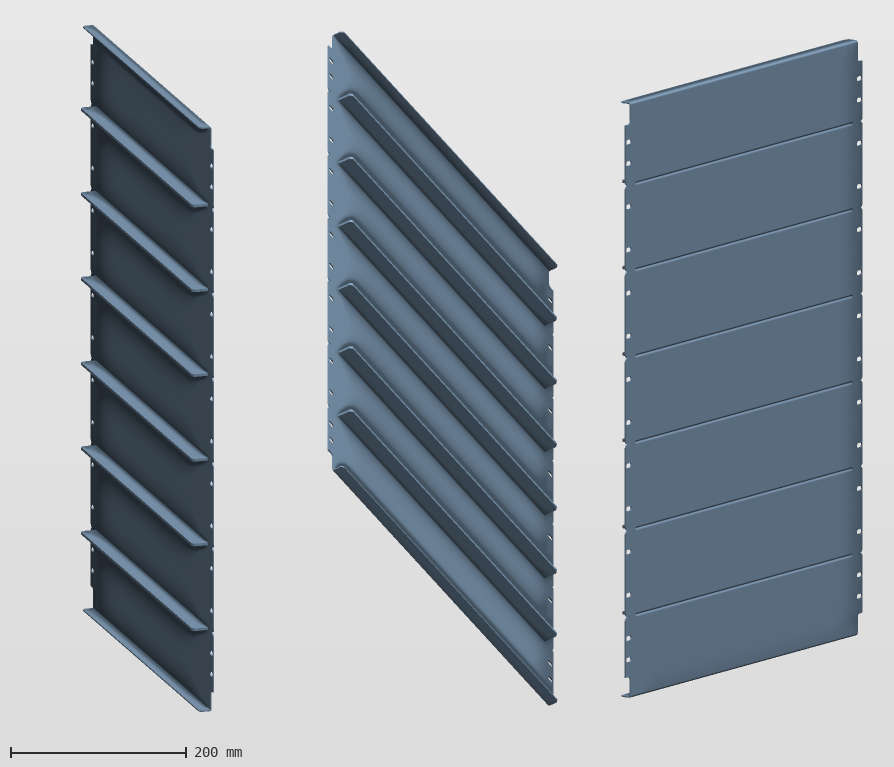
import cadquery as cq

HEIGHT = 690.0
WIDTH = 477.0
DEPTH = 20.0
PANEL_COUNT = 7
PITCH = 100.0
FULL_COUNT = PANEL_COUNT - 2
END_HEIGHT = (HEIGHT - FULL_COUNT * PITCH) / 2

SHEET = 1.5
BEND_INNER = 1.05
BEND_OUTER = BEND_INNER + SHEET

RIB_LENGTH = 437.5
RIB_CHAMFER = 3.0

RIM_LENGTH = 457.5
RIM_DEPTH = 14.5
RIM_CHAMFER = 3.0

NOTCH_HEIGHT = 25.0
NOTCH_FILLET = 4.0
CORNER_RADIUS = 5.0
SLOT_LENGTH = 10.5
SLOT_HEIGHT = 5.5
SLOT_INSET = 6.0
SLOT_SPACING = PITCH / 2
RIM_SLOT_DISTANCES = (45.0, 70.0)


def make_sheet(bottom, top):
    """Flat sheet with its back on Y = 0 and rounded corners."""
    sheet = cq.Workplane("XY").box(WIDTH, SHEET, top - bottom, centered=(True, False, False))
    sheet = sheet.edges("|Y").fillet(CORNER_RADIUS)
    return sheet.translate((0, -SHEET, bottom))


def make_flange(length, depth, chamfer):
    """Flange bent to -Y, with its outer face on Z = 0 and the sheet below it."""
    flange = (
        cq.Workplane("YZ")
        .moveTo(0, -BEND_OUTER)
        .radiusArc((-BEND_OUTER, 0), -BEND_OUTER)
        .lineTo(-depth, 0)
        .lineTo(-depth, -SHEET)
        .lineTo(-BEND_OUTER, -SHEET)
        .radiusArc((-SHEET, -BEND_OUTER), BEND_INNER)
        .close()
        .extrude(length / 2, both=True)
    )
    return flange.faces("<Y").edges("|Z").chamfer(chamfer)


def make_bend_clearance(length):
    """Strip of flat sheet that a flange with its outer face on Z = 0 replaces."""
    return cq.Workplane("XY").box(length, 2 * SHEET, 2 * BEND_OUTER).translate((0, -SHEET, 0))


def flip(body):
    """Mirror a shape top to bottom across Z = 0."""
    return body.mirror("XY")


def make_slots(levels):
    """Rounded slots at both sides of a sheet, at the given heights."""
    reach = WIDTH / 2 - SLOT_INSET
    points = [(side * reach, z) for side in (-1, 1) for z in levels]
    return (
        cq.Workplane("XZ")
        .pushPoints(points)
        .slot2D(SLOT_LENGTH, SLOT_HEIGHT)
        .extrude(SHEET)
    )


def make_full_panel(middle):
    """Panel with a rib flange along both seams, centred on the given height."""
    bottom = -PITCH / 2
    top = PITCH / 2
    clearance = make_bend_clearance(RIB_LENGTH)
    rib = make_flange(RIB_LENGTH, DEPTH, RIB_CHAMFER)
    panel = make_sheet(bottom, top)
    panel = panel.cut(clearance.translate((0, 0, top))).cut(clearance.translate((0, 0, bottom)))
    panel = panel.union(rib.translate((0, 0, top))).union(flip(rib).translate((0, 0, bottom)))
    panel = panel.cut(make_slots((-SLOT_SPACING / 2, SLOT_SPACING / 2)))
    return panel.translate((0, 0, middle))


def make_rim_notches():
    """Cutters for the steps at both sides of a rim on Z = 0."""
    notch_width = (WIDTH - RIM_LENGTH) / 2
    notch = (
        cq.Workplane("XY")
        .box(2 * notch_width, 2 * SHEET, 2 * NOTCH_HEIGHT)
        .edges("|Y")
        .fillet(NOTCH_FILLET)
        .translate((0, -SHEET, 0))
    )
    left = notch.translate((-WIDTH / 2, 0, 0))
    return left.union(notch.translate((WIDTH / 2, 0, 0)))


def make_top_panel():
    """End panel with a rim flange along its top and a rib flange along its seam."""
    panel = make_sheet(-END_HEIGHT, 0)
    panel = panel.cut(make_rim_notches())
    panel = panel.cut(make_bend_clearance(WIDTH))
    panel = panel.cut(make_bend_clearance(RIB_LENGTH).translate((0, 0, -END_HEIGHT)))
    panel = panel.union(make_flange(RIM_LENGTH, RIM_DEPTH, RIM_CHAMFER))
    rib = flip(make_flange(RIB_LENGTH, DEPTH, RIB_CHAMFER))
    panel = panel.union(rib.translate((0, 0, -END_HEIGHT)))
    panel = panel.cut(make_slots([-distance for distance in RIM_SLOT_DISTANCES]))
    return panel.translate((0, 0, HEIGHT / 2))


top_panel = make_top_panel()
bottom_panel = flip(top_panel)
full_panels = [
    make_full_panel((index - (FULL_COUNT - 1) / 2) * PITCH)
    for index in range(FULL_COUNT)
]

panels = [top_panel, *full_panels, bottom_panel]

result = cq.Compound.makeCompound([panel.solids().val() for panel in panels])